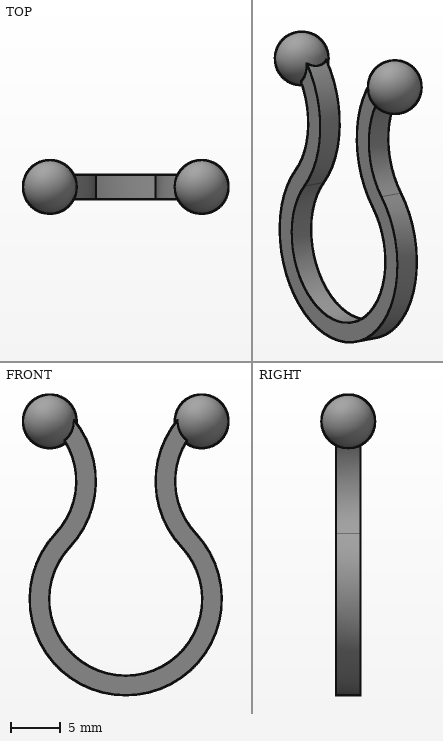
import cadquery as cq
import math

strip_thickness = 2.0
strip_width = 2.5
ring_mid_radius = 8.7
arm_mid_radius = 8.7
throat_gap = 6.0
ball_diameter = 5.45
ball_offset_x = 7.655
ball_height = 17.935

half_thickness = strip_thickness / 2
arm_centre_x = throat_gap / 2 + half_thickness + arm_mid_radius
centre_distance = ring_mid_radius + arm_mid_radius
joint_angle = math.acos(arm_centre_x / centre_distance)
arm_centre_z = centre_distance * math.sin(joint_angle)

arm_end_angle = math.atan2(ball_height - arm_centre_z, arm_centre_x - ball_offset_x)


def ring_point(radius, angle):
    """Point on a circle about the ring centre, in XZ."""
    return (radius * math.cos(angle), radius * math.sin(angle))


def arm_point(radius, angle):
    """Point on the right arm; the angle is measured up from -X at the arm centre."""
    return (arm_centre_x - radius * math.cos(angle), arm_centre_z + radius * math.sin(angle))


def mirrored(point):
    """Reflect an XZ point to the left side."""
    return (-point[0], point[1])


def make_strip():
    """Omega-shaped strip: an open ring with two flared arms."""
    ring_outer = ring_mid_radius + half_thickness
    ring_inner = ring_mid_radius - half_thickness
    arm_outer = arm_mid_radius + half_thickness
    arm_inner = arm_mid_radius - half_thickness

    outer_joint = ring_point(ring_outer, joint_angle)
    inner_joint = ring_point(ring_inner, joint_angle)
    arm_outside_middle = arm_point(arm_inner, 0)
    arm_inside_middle = arm_point(arm_outer, 0)
    arm_outside_end = arm_point(arm_inner, arm_end_angle)
    arm_inside_end = arm_point(arm_outer, arm_end_angle)

    return (
        cq.Workplane("XZ")
        .moveTo(*arm_outside_end)
        .threePointArc(arm_outside_middle, outer_joint)
        .threePointArc((0, -ring_outer), mirrored(outer_joint))
        .threePointArc(mirrored(arm_outside_middle), mirrored(arm_outside_end))
        .lineTo(*mirrored(arm_inside_end))
        .threePointArc(mirrored(arm_inside_middle), mirrored(inner_joint))
        .threePointArc((0, -ring_inner), inner_joint)
        .threePointArc(arm_inside_middle, arm_inside_end)
        .close()
        .extrude(strip_width / 2, both=True)
    )


def make_ball(side):
    """Ball tip on one arm; side is -1 (left) or +1 (right)."""
    return cq.Workplane("XZ").sphere(ball_diameter / 2).translate((side * ball_offset_x, 0, ball_height))


result = make_strip()
for side in (-1, 1):
    result = result.union(make_ball(side))